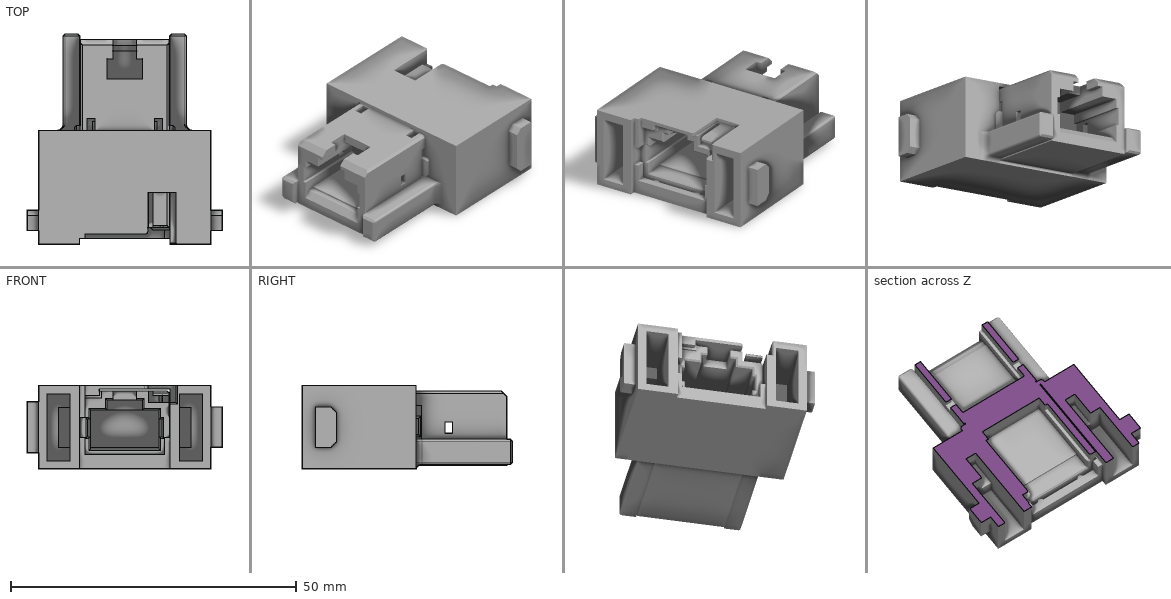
import cadquery as cq

BODY_HALF = 30.22 / 2
BODY_DEPTH = 20.0
BODY_HEIGHT = 14.6

NOTCH_HALF = 7.95
NOTCH_DEPTH = 1.0

INSERT_HALF = 7.82
INSERT_FRONT = 2.95
INSERT_BACK = 35.95
INSERT_BOTTOM = 0.55
INSERT_TOP = 13.65
INSERT_SIDE_CHAMFER = 0.4
INSERT_END_CHAMFER = 1.0

MOUTH_HALF = 7.0
MOUTH_FLOOR = 2.55
SIDE_GAP_BOTTOM = 5.5
SIDE_GAP_TOP = 8.95
CEILING = 14.0
LIP_RIGHT = -4.45
LIP_BOTTOM = 12.85
LIP_STEP = 0.4
INNER_LIP_FRONT = 2.65
COVER_FRONT = 1.77

GAP_FRONT = 2.5
SPUR_CENTER = 4.28
SPUR_HALF = 0.65
SPUR_TIP_HALF = 0.2

WINDOW_LEFT = 4.05
WINDOW_RIGHT = 9.0
WINDOW_BACK = 9.08
WINDOW_CORNER = 0.6
LEDGE_TOP = 11.6
LEDGE_CHAMFER = 0.22

RECESS_LEFT = 4.17
RECESS_FLOOR = 11.62
LATCH_LEFT = 4.95
LATCH_FRONT = INSERT_FRONT
LATCH_BOTTOM = 12.88
LATCH_CHAMFER = 0.37
LATCH_SLOT = (6.05, 6.55)

JACK_HALF = 6.05
JACK_FLOOR = 3.47
JACK_TOP = 10.3
GROOVE_HALF = 6.55
GROOVE_BOTTOM = 5.6
GROOVE_TOP = 8.7
CHANNEL_HALF = 3.1
CHANNEL_TOP = 12.05
FLOOR_STEP = 0.3
LEAD_IN = 0.25
FRONT_JACK_DEPTH = 14.75
FRONT_KEYWAY_DEPTH = 12.9
FRONT_STEP_DEPTH = 3.32
REAR_JACK_DEPTH = 12.9
REAR_STEP_DEPTH = 2.03
REAR_LIP_CHAMFER = 1.07
TAB_SLOT_HALF = 2.05
TAB_SLOT_LENGTH = 3.45
TEE_LENGTH = 3.5

SIDE_HOLE_Y = (25.1, 26.4)
SIDE_HOLE_Z = (6.27, 8.2)
TOP_POCKET_X = (5.25, 6.6)
TOP_POCKET_LENGTH = 2.1
TOP_POCKET_STEP_X = 5.65
TOP_POCKET_STEP_LENGTH = 1.55
TOP_POCKET_STEP_HEIGHT = 0.45
SIDE_RECESS_LENGTH = 0.92
SIDE_RECESS_TOP = 11.1
SIDE_RECESS_DEPTH = 0.3
SIDE_TAB_REACH = 8.85
SIDE_TAB_LENGTH = 0.8
SIDE_TAB_Z = (5.6, 9.22)
SIDE_TAB_CHAMFER = 0.37

RAIL_INNER = 7.85
RAIL_OUTER = 10.85
RAIL_BOTTOM = 0.75
RAIL_TOP = 5.2
RAIL_END = 36.9
RAIL_EDGE = 0.4
RAIL_TIP = 0.37
RAIL_ROOT_FILLET = 1.0
ROOT_PLATE_THICKNESS = 1.1
ROOT_EDGE_REACH = 0.2

POCKET_INNER = 9.63
POCKET_OUTER = 13.65
POCKET_Z = (1.35, 13.15)
POCKET_DEPTH = 9.95
DEEP_POCKET_OUTER = 11.62
DEEP_POCKET_Z = (3.75, 10.75)
DEEP_POCKET_DEPTH = 14.75

EAR_REACH = 34.2 / 2
EAR_Y = (2.4, 6.0)
EAR_CHAMFER = 0.95
LEFT_EAR_Z = (2.8, 11.77)
RIGHT_EAR_Z = (3.75, 10.85)


def block(x, y, z):
    """Box between the given (low, high) limits along each axis."""
    size = [high - low for low, high in (x, y, z)]
    return cq.Workplane("XY").box(*size, centered=False).translate((x[0], y[0], z[0]))


def both_sides(shape):
    """The shape together with its mirror image across x = 0."""
    return shape.union(shape.mirror("YZ"))


def front_prism(points, y_start, y_end):
    """Outline in x and z, extruded from y_start to y_end."""
    plane = cq.Workplane("XZ", origin=(0, y_start, 0))
    return plane.polyline(points).close().extrude(y_start - y_end)


def ear(z):
    """Ear on the right side, its two rear corners chamfered."""
    shape = block((BODY_HALF, EAR_REACH), EAR_Y, z)
    return shape.edges(">Y and |X").chamfer(EAR_CHAMFER)


def side_pocket():
    """Stepped pocket in the right side block."""
    wide = block((POCKET_INNER, POCKET_OUTER), (0, POCKET_DEPTH), POCKET_Z)
    deep = block((POCKET_INNER, DEEP_POCKET_OUTER), (0, DEEP_POCKET_DEPTH), DEEP_POCKET_Z)
    return wide.union(deep)


def insert_passage():
    """Opening that takes the insert, keyed by the lip at its upper left."""
    outline = [
        (-MOUTH_HALF, MOUTH_FLOOR),
        (MOUTH_HALF, MOUTH_FLOOR),
        (MOUTH_HALF, SIDE_GAP_BOTTOM),
        (NOTCH_HALF, SIDE_GAP_BOTTOM),
        (NOTCH_HALF, CEILING),
        (LIP_RIGHT, CEILING),
        (LIP_RIGHT, LIP_BOTTOM),
        (-MOUTH_HALF, LIP_BOTTOM),
        (-MOUTH_HALF, SIDE_GAP_TOP),
        (-INSERT_HALF, SIDE_GAP_TOP),
        (-INSERT_HALF, SIDE_GAP_BOTTOM),
        (-MOUTH_HALF, SIDE_GAP_BOTTOM),
    ]
    return front_prism(outline, 0, BODY_DEPTH)


def top_window():
    """Cut through the top plate: shallow along the front edge, deep on the right."""
    return (
        cq.Workplane("XY", origin=(0, 0, LIP_BOTTOM))
        .moveTo(-MOUTH_HALF, 0)
        .lineTo(NOTCH_HALF, 0)
        .lineTo(NOTCH_HALF, WINDOW_BACK)
        .lineTo(WINDOW_LEFT, WINDOW_BACK)
        .lineTo(WINDOW_LEFT, COVER_FRONT + WINDOW_CORNER)
        .radiusArc((WINDOW_LEFT - WINDOW_CORNER, COVER_FRONT), WINDOW_CORNER)
        .lineTo(-MOUTH_HALF, COVER_FRONT)
        .close()
        .extrude(BODY_HEIGHT - LIP_BOTTOM)
    )


def ledge_cut():
    """Step in the right side block beside the window, with a chamfered front rim."""
    step = block((NOTCH_HALF, WINDOW_RIGHT), (0, WINDOW_BACK), (LEDGE_TOP, BODY_HEIGHT))
    rim = (
        cq.Workplane("XZ")
        .moveTo(NOTCH_HALF, LEDGE_TOP - LEDGE_CHAMFER)
        .lineTo(WINDOW_RIGHT + LEDGE_CHAMFER, LEDGE_TOP - LEDGE_CHAMFER)
        .lineTo(WINDOW_RIGHT + LEDGE_CHAMFER, BODY_HEIGHT)
        .lineTo(NOTCH_HALF, BODY_HEIGHT)
        .close()
        .workplane(offset=-LEDGE_CHAMFER)
        .moveTo(NOTCH_HALF, LEDGE_TOP)
        .lineTo(WINDOW_RIGHT, LEDGE_TOP)
        .lineTo(WINDOW_RIGHT, BODY_HEIGHT)
        .lineTo(NOTCH_HALF, BODY_HEIGHT)
        .close()
        .loft(ruled=True)
    )
    return step.union(rim)


def spur():
    """Tapered spur on the right of the sill, its narrow end joining the insert."""
    return (
        cq.Workplane("XY", origin=(0, 0, INSERT_BOTTOM))
        .moveTo(SPUR_CENTER - SPUR_HALF, GAP_FRONT)
        .lineTo(SPUR_CENTER + SPUR_HALF, GAP_FRONT)
        .lineTo(SPUR_CENTER + SPUR_TIP_HALF, INSERT_FRONT)
        .lineTo(SPUR_CENTER - SPUR_TIP_HALF, INSERT_FRONT)
        .close()
        .extrude(MOUTH_FLOOR - INSERT_BOTTOM)
    )


def sill_gap():
    """Gap behind the sill and the low side walls of the mouth."""
    gap = block(
        (-INSERT_HALF, INSERT_HALF), (GAP_FRONT, INSERT_FRONT), (INSERT_BOTTOM, SIDE_GAP_BOTTOM)
    )
    return gap.cut(both_sides(spur()))


def make_body():
    body = block((-BODY_HALF, BODY_HALF), (0, BODY_DEPTH), (0, BODY_HEIGHT))
    body = body.cut(block((-NOTCH_HALF, NOTCH_HALF), (0, NOTCH_DEPTH), (0, BODY_HEIGHT)))
    body = body.cut(insert_passage())
    body = body.cut(sill_gap())
    body = body.cut(top_window())
    body = body.cut(ledge_cut())
    body = body.cut(both_sides(side_pocket()))
    body = body.union(ear(RIGHT_EAR_Z))
    body = body.union(ear(LEFT_EAR_Z).mirror("YZ"))
    inner_lip = block(
        (-MOUTH_HALF, LIP_RIGHT + LIP_STEP),
        (INNER_LIP_FRONT, INSERT_FRONT),
        (LIP_BOTTOM - LIP_STEP, INSERT_TOP),
    )
    return body.union(inner_lip)


def jack_outline(growth=0.0):
    """Outline of a jack opening: main room, side grooves and upper latch channel."""
    right = [
        (JACK_HALF + growth, JACK_FLOOR - growth),
        (JACK_HALF + growth, GROOVE_BOTTOM - growth),
        (GROOVE_HALF + growth, GROOVE_BOTTOM - growth),
        (GROOVE_HALF + growth, GROOVE_TOP + growth),
        (JACK_HALF + growth, GROOVE_TOP + growth),
        (JACK_HALF + growth, JACK_TOP + growth),
        (CHANNEL_HALF + growth, JACK_TOP + growth),
        (CHANNEL_HALF + growth, CHANNEL_TOP + growth),
    ]
    left = [(-x, z) for x, z in reversed(right)]
    return right + left


def floor_rise(y_start, y_end):
    """Raised inner part of a jack floor."""
    return block((-JACK_HALF, JACK_HALF), (y_start, y_end), (JACK_FLOOR, JACK_FLOOR + FLOOR_STEP))


def front_jack():
    """Front opening: lead-in chamfer, stepped floor and an open slot above the channel."""
    end = INSERT_FRONT + FRONT_JACK_DEPTH
    room = front_prism(jack_outline(), INSERT_FRONT, INSERT_FRONT + FRONT_KEYWAY_DEPTH)
    room = room.union(block((-JACK_HALF, JACK_HALF), (INSERT_FRONT, end), (JACK_FLOOR, JACK_TOP)))
    room = room.cut(floor_rise(INSERT_FRONT + FRONT_STEP_DEPTH, end))
    lead_in = (
        cq.Workplane("XZ", origin=(0, INSERT_FRONT, 0))
        .polyline(jack_outline(LEAD_IN))
        .close()
        .workplane(offset=-LEAD_IN)
        .polyline(jack_outline())
        .close()
        .loft(ruled=True)
    )
    slot = block(
        (-TAB_SLOT_HALF, TAB_SLOT_HALF),
        (INSERT_FRONT, INSERT_FRONT + TAB_SLOT_LENGTH),
        (CHANNEL_TOP, INSERT_TOP),
    )
    return room.union(lead_in).union(slot)


def rear_jack():
    """Rear opening: chamfered sill, stepped floor and a T-shaped slot through the top."""
    start = INSERT_BACK - REAR_JACK_DEPTH
    room = front_prism(jack_outline(), start, INSERT_BACK)
    room = room.cut(floor_rise(start, INSERT_BACK - REAR_STEP_DEPTH))
    sill = (
        cq.Workplane("YZ", origin=(-JACK_HALF, 0, 0))
        .moveTo(INSERT_BACK, JACK_FLOOR)
        .lineTo(INSERT_BACK - REAR_LIP_CHAMFER, JACK_FLOOR)
        .lineTo(INSERT_BACK, JACK_FLOOR - REAR_LIP_CHAMFER)
        .close()
        .extrude(2 * JACK_HALF)
    )
    neck_start = INSERT_BACK - TAB_SLOT_LENGTH
    slot_z = (JACK_TOP, INSERT_TOP)
    neck = block((-TAB_SLOT_HALF, TAB_SLOT_HALF), (neck_start, INSERT_BACK), slot_z)
    tee = block((-CHANNEL_HALF, CHANNEL_HALF), (neck_start - TEE_LENGTH, neck_start), slot_z)
    return room.union(sill).union(neck).union(tee)


def latch_recess():
    """Space around and below the latch, with a slot that runs on to the tongue."""
    recess = block(
        (RECESS_LEFT, INSERT_HALF), (INSERT_FRONT, WINDOW_BACK), (RECESS_FLOOR, INSERT_TOP)
    )
    latch = block(
        (LATCH_LEFT, INSERT_HALF), (LATCH_FRONT, WINDOW_BACK), (LATCH_BOTTOM, INSERT_TOP)
    )
    latch = latch.edges("<Y and >Z").chamfer(LATCH_CHAMFER)
    slot = block(LATCH_SLOT, (WINDOW_BACK, BODY_DEPTH), (RECESS_FLOOR, LATCH_BOTTOM))
    return recess.cut(latch).union(slot)


def top_pocket():
    """Pocket in the tongue's top against the body, with a small step on its inner side."""
    end = BODY_DEPTH + TOP_POCKET_LENGTH
    pocket = block(TOP_POCKET_X, (BODY_DEPTH, end), (RECESS_FLOOR, INSERT_TOP))
    step = block(
        (TOP_POCKET_X[0], TOP_POCKET_STEP_X),
        (BODY_DEPTH, BODY_DEPTH + TOP_POCKET_STEP_LENGTH),
        (RECESS_FLOOR, RECESS_FLOOR + TOP_POCKET_STEP_HEIGHT),
    )
    return pocket.cut(step)


def side_recess():
    """Shallow recess in the tongue's side against the body."""
    return block(
        (INSERT_HALF - SIDE_RECESS_DEPTH, INSERT_HALF),
        (BODY_DEPTH, BODY_DEPTH + SIDE_RECESS_LENGTH),
        (RAIL_TOP, SIDE_RECESS_TOP),
    )


def side_tab():
    """Chamfered tab that stands out of the side recess."""
    tab = block(
        (INSERT_HALF - SIDE_RECESS_DEPTH, SIDE_TAB_REACH),
        (BODY_DEPTH, BODY_DEPTH + SIDE_TAB_LENGTH),
        SIDE_TAB_Z,
    )
    return tab.edges(">X and (not <Y)").chamfer(SIDE_TAB_CHAMFER)


def make_insert():
    insert = block(
        (-INSERT_HALF, INSERT_HALF), (INSERT_FRONT, INSERT_BACK), (INSERT_BOTTOM, INSERT_TOP)
    )
    insert = insert.edges(">Y and >Z").chamfer(INSERT_END_CHAMFER)
    insert = insert.faces(">Z").edges("|Y").chamfer(INSERT_SIDE_CHAMFER)
    insert = insert.cut(front_jack())
    insert = insert.cut(rear_jack())
    insert = insert.cut(latch_recess())
    insert = insert.cut(both_sides(top_pocket()))
    insert = insert.cut(block((-INSERT_HALF, INSERT_HALF), SIDE_HOLE_Y, SIDE_HOLE_Z))
    insert = insert.cut(both_sides(side_recess()))
    return insert.union(both_sides(side_tab()))


def rail():
    """Right guide rail with a bevelled tip and a root fillet cut off at the underside."""
    bar = block((RAIL_INNER, RAIL_OUTER), (BODY_DEPTH, RAIL_END), (RAIL_BOTTOM, RAIL_TOP))
    bar = bar.edges(">X and |Y").fillet(RAIL_EDGE)
    bar = bar.faces(">Y").chamfer(RAIL_TIP)
    root_plate = block(
        (0, BODY_HALF),
        (BODY_DEPTH - ROOT_PLATE_THICKNESS, BODY_DEPTH),
        (-BODY_HEIGHT, BODY_HEIGHT),
    )
    bar = bar.union(root_plate)
    root = cq.selectors.BoxSelector(
        (RAIL_INNER + RAIL_EDGE, BODY_DEPTH - ROOT_EDGE_REACH, 0),
        (BODY_HALF, BODY_DEPTH + ROOT_EDGE_REACH, RAIL_TOP - RAIL_EDGE),
    )
    bar = bar.edges(root).fillet(RAIL_ROOT_FILLET)
    return bar.intersect(block((RAIL_INNER, BODY_HALF), (BODY_DEPTH, RAIL_END), (0, RAIL_TOP)))


result = make_body().union(make_insert()).union(both_sides(rail())).clean()